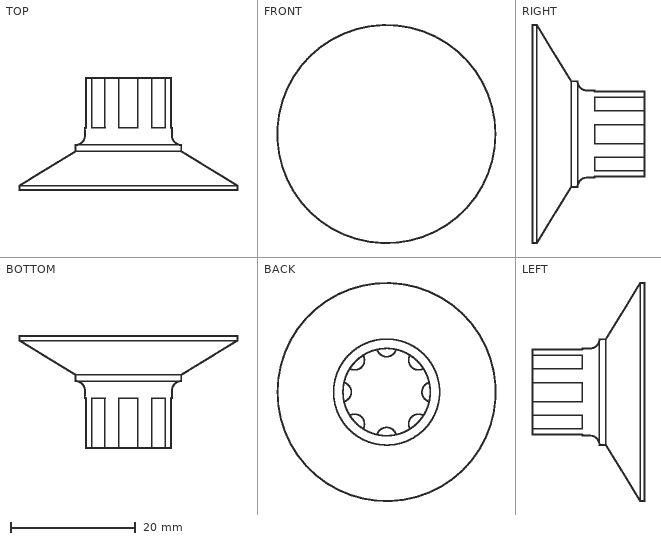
import cadquery as cq
import math

overall_height = 18.0
disc_radius = 17.5
rim_height = 0.75
collar_radius = 8.5
collar_bottom = 6.23
collar_top = 7.25
knob_radius = 7.0
neck_fillet_radius = collar_radius - knob_radius

flute_count = 8
flute_width = 3.05
flute_radius = 1.58
flute_bottom = 9.98


def turned_body():
    """Rim, cone, collar and knob, joined by a concave neck fillet."""
    fillet_center_x = collar_radius
    fillet_center_y = collar_top + neck_fillet_radius
    fillet_reach = neck_fillet_radius * math.sqrt(0.5)
    profile = (
        cq.Workplane("XY")
        .moveTo(0, 0)
        .lineTo(disc_radius, 0)
        .lineTo(disc_radius, rim_height)
        .lineTo(collar_radius, collar_bottom)
        .lineTo(collar_radius, collar_top)
        .threePointArc(
            (fillet_center_x - fillet_reach, fillet_center_y - fillet_reach),
            (knob_radius, fillet_center_y),
        )
        .lineTo(knob_radius, overall_height)
        .lineTo(0, overall_height)
        .close()
    )
    return profile.revolve(360, (0, 0, 0), (0, 1, 0))


def flutes():
    """Round grip grooves, open at the free end of the knob."""
    half_width = flute_width / 2
    edge_distance = math.sqrt(knob_radius**2 - half_width**2)
    center_distance = edge_distance + math.sqrt(flute_radius**2 - half_width**2)
    return (
        cq.Workplane("XZ", origin=(0, flute_bottom, 0))
        .polarArray(center_distance, 0, 360, flute_count)
        .circle(flute_radius)
        .extrude(flute_bottom - overall_height)
    )


result = turned_body().cut(flutes()).translate((0, -overall_height / 2, 0))